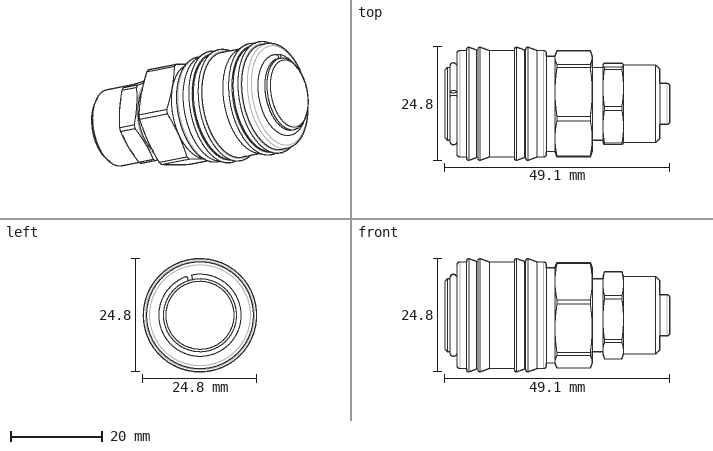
import cadquery as cq
import math


barrel_diameter = 15.95
barrel_chamfer = 0.55
groove_diameter = 14.95
groove_start = 1.1

wire_diameter = 1.5
ring_gap_angle = 7.0
ring_gap_position = 15.2

sleeve_diameter = 23.3
sleeve_start = groove_start + wire_diameter
sleeve_end = 22.15
sleeve_edge_radius = 0.65

rib_diameter = 24.8
rib_edge_radius = 0.5
rib_length = 2.5
rib_spacing = 2.45
rib_land_length = 0.3
rib_pair_starts = [4.7, 15.15]

front_neck_diameter = 20.85
rear_neck_diameter = 15.95

large_hex_start = 24.0
large_hex_end = 32.15
large_hex_flats = 21.0
large_hex_corners = 23.7
large_hex_turn = 15.8
small_hex_start = 34.45
small_hex_end = 39.0
small_hex_flats = 17.0
small_hex_corners = 19.15
small_hex_turn = 6.0
hex_bevel_angle = 17.0
hex_face_margin = 0.05

clamp_diameter = small_hex_flats
clamp_end = 46.95
clamp_chamfer = 0.95
stub_diameter = 9.0
stub_end = 49.1
stub_edge_radius = 0.6


def disc(start, end, diameter):
    """Solid cylinder on the X axis between two X positions."""
    return cq.Workplane("YZ", origin=(start, 0, 0)).circle(diameter / 2).extrude(end - start)


def make_barrel():
    """Chamfered front barrel with the ring groove running up to the sleeve face."""
    barrel = disc(0, sleeve_start, barrel_diameter).faces("<X").chamfer(barrel_chamfer)
    groove_ring = disc(groove_start, sleeve_start, barrel_diameter).cut(
        disc(groove_start, sleeve_start, groove_diameter)
    )
    return barrel.cut(groove_ring)


def make_rib(start):
    """One grip rib, revolved about X."""
    base = sleeve_diameter / 2
    top = rib_diameter / 2
    corner = rib_edge_radius * (1 - math.sqrt(0.5))
    return (
        cq.Workplane("XY")
        .moveTo(start, 0)
        .lineTo(start, top - rib_edge_radius)
        .threePointArc((start + corner, top - corner), (start + rib_edge_radius, top))
        .lineTo(start + rib_length, base)
        .lineTo(start + rib_length, 0)
        .close()
        .revolve(360, (0, 0, 0), (1, 0, 0))
    )


def make_sleeve():
    """Sleeve with pairs of ribs; each land meets the taper of the rib in front of it."""
    taper_length = rib_length - rib_edge_radius
    taper_used = rib_spacing - rib_land_length - rib_edge_radius
    land_diameter = rib_diameter - (rib_diameter - sleeve_diameter) * taper_used / taper_length
    sleeve = disc(sleeve_start, sleeve_end, sleeve_diameter).edges().fillet(sleeve_edge_radius)
    for pair_start in rib_pair_starts:
        second_start = pair_start + rib_spacing
        land = disc(second_start - rib_land_length, second_start, land_diameter)
        sleeve = sleeve.union(make_rib(pair_start)).union(land).union(make_rib(second_start))
    return sleeve


def make_hexagon(start, end, flats, corners, turn):
    """Bevelled hexagon along X with its first corner turned from +Z toward -Y."""
    prism = (
        cq.Workplane("YZ", origin=(start, 0, 0))
        .polygon(6, flats / math.cos(math.pi / 6))
        .extrude(end - start)
        .rotate((0, 0, 0), (1, 0, 0), 90 + turn)
    )
    face_radius = flats / 2 - hex_face_margin
    bevel_depth = corners / 2 - face_radius
    bevel_length = bevel_depth * math.tan(math.radians(hex_bevel_angle))
    blank = disc(start, end, corners).edges().chamfer(bevel_length, bevel_depth)
    return prism.intersect(blank)


def make_coupling():
    """All turned and hexagonal sections joined into one solid."""
    front_neck = disc(sleeve_end, large_hex_start, front_neck_diameter)
    rear_neck = disc(large_hex_end, small_hex_start, rear_neck_diameter)
    large_hex = make_hexagon(
        large_hex_start, large_hex_end, large_hex_flats, large_hex_corners, large_hex_turn
    )
    small_hex = make_hexagon(
        small_hex_start, small_hex_end, small_hex_flats, small_hex_corners, small_hex_turn
    )
    clamp = disc(small_hex_end, clamp_end, clamp_diameter).faces(">X").chamfer(clamp_chamfer)
    stub = disc(clamp_end, stub_end, stub_diameter).faces(">X").edges().fillet(stub_edge_radius)

    coupling = make_barrel()
    for section in (make_sleeve(), front_neck, large_hex, rear_neck, small_hex, clamp, stub):
        coupling = coupling.union(section)
    return coupling.solids()


def make_wire_ring():
    """Round wire resting on the groove floor, bent round X and left open at the gap."""
    centre_radius = (groove_diameter + wire_diameter) / 2
    return (
        cq.Workplane("XZ")
        .center(groove_start + wire_diameter / 2, centre_radius)
        .circle(wire_diameter / 2)
        .revolve(360 - ring_gap_angle, (0, -centre_radius, 0), (1, -centre_radius, 0))
        .rotate((0, 0, 0), (1, 0, 0), ring_gap_angle / 2 - ring_gap_position)
    )


coupling = make_coupling()
wire_ring = make_wire_ring()

result = cq.Compound.makeCompound([coupling.val(), wire_ring.val()])